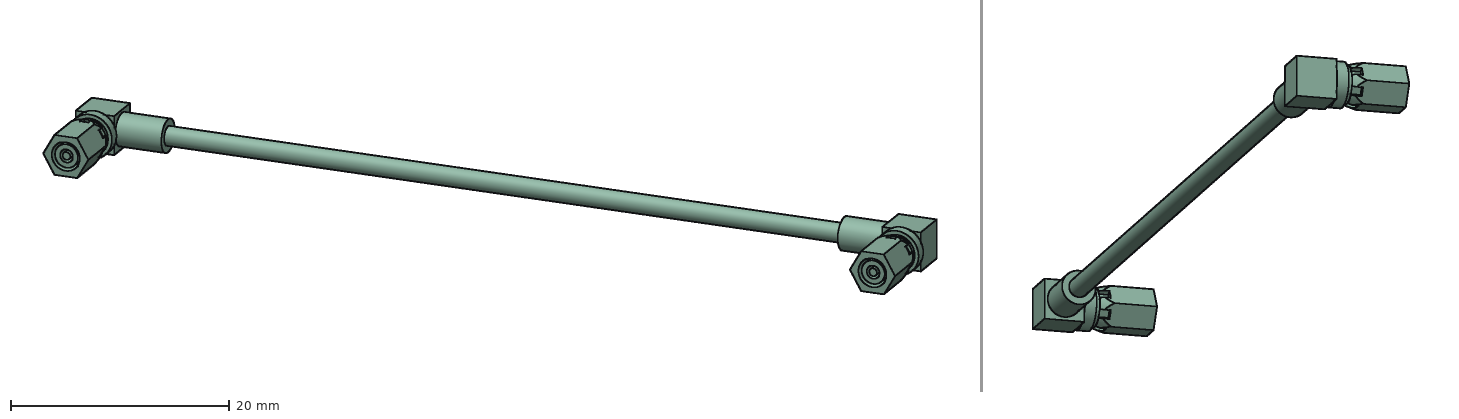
import cadquery as cq
import math

total_length = 84.7
total_depth = 10.7

block_size = 3.8
flange_diameter = 4.3
flange_length = 1.1
groove_diameter = 3.6
groove_length = 0.4

nut_flats = 3.9
nut_corners = nut_flats / math.cos(math.pi / 6)
nut_taper_diameter = 3.7
nut_taper_length = 1.3
notch_count = 6
notch_width = 0.85
notch_length = 1.0
notch_floor_radius = 1.4

socket_diameter = 2.8
socket_depth = 3.8
barrel_diameter = 2.3
barrel_bore_diameter = 1.3
barrel_recess = 0.2
contact_diameter = 0.8

sleeve_diameter = 3.2
sleeve_length = 4.6
cable_diameter = 1.9

plug_x = (total_length - nut_corners) / 2
block_front_y = -block_size / 2
flange_front_y = block_front_y - flange_length
nut_back_y = flange_front_y - groove_length
nut_front_y = block_size / 2 - total_depth
socket_floor_y = nut_front_y + socket_depth
barrel_front_y = nut_front_y + barrel_recess
sleeve_inner_x = plug_x - block_size / 2 - sleeve_length
cable_end_x = plug_x - block_size / 2


def rod_y(diameter, back_y, front_y):
    """Cylinder on the plug axis from back_y towards -Y to front_y."""
    return (
        cq.Workplane("XZ", origin=(plug_x, back_y, 0))
        .circle(diameter / 2)
        .extrude(back_y - front_y)
    )


def make_nut():
    """Hexagonal nut whose rear corners are cut back by a slender cone, with a rear notch in every flat."""
    hexagon = (
        cq.Workplane("XZ", origin=(plug_x, nut_back_y, 0))
        .polygon(6, nut_corners)
        .extrude(nut_back_y - nut_front_y)
    )
    turned_blank = rod_y(nut_corners, nut_back_y, nut_front_y).faces(">Y").chamfer(
        nut_taper_length, (nut_corners - nut_taper_diameter) / 2
    )
    nut = hexagon.intersect(turned_blank)
    top_notch = (
        cq.Workplane("XY", origin=(plug_x, nut_back_y, notch_floor_radius))
        .rect(notch_width, 2 * notch_length)
        .extrude(nut_corners / 2 - notch_floor_radius)
    )
    for index in range(notch_count):
        angle = index * 360 / notch_count
        nut = nut.cut(top_notch.rotate((plug_x, 0, 0), (plug_x, 1, 0), angle))
    return nut


def make_cable():
    """Straight cable reaching through both sleeves to the plug blocks."""
    return (
        cq.Workplane("YZ", origin=(-cable_end_x, 0, 0))
        .circle(cable_diameter / 2)
        .extrude(2 * cable_end_x)
    )


def make_plug():
    """Right-angle plug at the +X end of the cable."""
    block = cq.Workplane("XY", origin=(plug_x, 0, 0)).box(block_size, block_size, block_size)
    flange = rod_y(flange_diameter, block_front_y, flange_front_y)
    groove = rod_y(groove_diameter, flange_front_y, nut_back_y)
    sleeve = (
        cq.Workplane("YZ", origin=(sleeve_inner_x, 0, 0))
        .circle(sleeve_diameter / 2)
        .extrude(sleeve_length)
    )
    socket = rod_y(socket_diameter, socket_floor_y, nut_front_y)
    barrel = rod_y(barrel_diameter, socket_floor_y, barrel_front_y)
    barrel_bore = rod_y(barrel_bore_diameter, socket_floor_y, barrel_front_y)
    contact = rod_y(contact_diameter, socket_floor_y, barrel_front_y)

    plug = block.union(flange).union(groove).union(make_nut()).union(sleeve)
    plug = plug.cut(socket).union(barrel).cut(barrel_bore).union(contact)
    return plug.cut(make_cable())


cable = make_cable()
plugs = []
for side in (-1, 1):
    plug = make_plug()
    if side < 0:
        plug = plug.mirror("YZ")
    plugs.append(plug.val())

result = cq.Compound.makeCompound([cable.val(), *plugs])